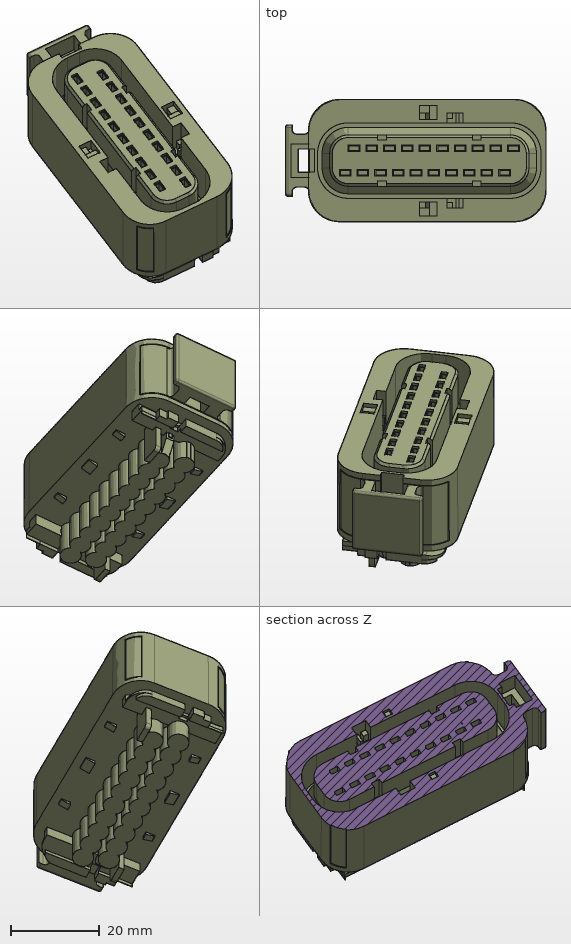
import cadquery as cq
import math

overall_length = 58.85
shell_length = 53.7
shell_width = 27.65
shell_height = 18.95
shell_corner_radius = 7.05
shell_draft = 0.05
shell_end_x = shell_length / 2

core_center_x = 0.5
cavity_length = 50.5
cavity_width = 17.05
cavity_radius = 6.95
cavity_depth = 12.95
cavity_floor_z = shell_height - cavity_depth

core_length = 45.0
core_width = 11.6
core_radius = 4.2
core_chamfer = 0.6
core_notch_offset_x = 10.7
core_notch_width = 2.0
core_notch_depth = 1.2
skirt_spread = 1.7
skirt_base_height = 1.2
skirt_slope_height = 2.95
skirt_base_z = cavity_floor_z + skirt_base_height
skirt_top_z = skirt_base_z + skirt_slope_height

contact_count = 10
contact_pitch = 4.0
contact_row_y = 2.75
contact_row_shift = contact_pitch / 4
contact_mouth = (2.65, 1.5, 0.6)
contact_hole = (2.2, 1.05, 5.9)

tube_radius = 2.4
tube_length = 8.2
foot_bottom_z = -9.95
foot_thickness = 1.3
foot_length = 4.65
foot_overlap = 0.05
foot_round = 1.0

panel_bottom_z = 1.6
panel_top_z = 17.35
panel_inner_x = 23.65
panel_recess = 0.25
panel_pad_width = 19.2

latch_bottom_z = 1.7
latch_top_z = 17.2
latch_height = latch_top_z - latch_bottom_z
latch_outer_x = shell_end_x - overall_length
latch_plate_thickness = 1.55
latch_plate_width = 16.1
latch_edge_round = 0.55
latch_neck_width = 12.0
latch_neck_round = 1.0
latch_root_round = 1.2
latch_pocket_width = 7.55
latch_pocket_wall = 1.3
latch_pocket_depth = 5.3
latch_hole_width = 5.2
latch_hole_start = 2.9
rim_notch_depth = 1.35

key_x = (-1.7, 0.5, 2.25)
key_y = (9.3, 10.7, 12.5)
key_shelf_depth = 1.0
key_ledge_depth = 1.4
key_floor_depth = 2.95
key_slope_width = 0.8

side_notch_x = (4.5, 5.75, 8.1)
side_notch_y = (9.5, 10.7)
side_notch_depth = 8.25
side_ledge_depth = 5.9
side_rib_x = (6.55, 7.2)

clip_wall_x = (19.65, 22.35)
clip_bar_x = (23.65, 25.8)
clip_wall_bottom_z = -3.05
clip_bar_wrap = 0.1
clip_bar_top_z = -1.75
clip_bar_bottom_z = -4.1
clip_back_y = 12.0
clip_front_y = -11.25
clip_bar_front_y = -9.85
clip_curve_y = -6.8
clip_bend_y = -7.65
clip_wall_tip_x = 21.1
clip_arm_tip_x = 21.4
clip_arm_drop = 0.75
clip_step_x = 25.2
clip_step_y = (6.3, 8.25)
clip_slot_y = (1.5, 3.55)
clip_window_y = (-0.2, 5.25)
clip_window_top_z = -1.05

gusset_outer_x = -20.85
gusset_inner_x = -17.65
gusset_root_x = -18.85
gusset_bend_z = -4.9
rib_width = 1.0
rib_center_y = 2.5
rib_proud = 0.2
gusset_rib_bottom_z = -4.25

wedge_drop = 1.0
wedge_lip = 0.3
wedge_y = (9.4, 11.8)
wedges = ((-11.95, 1.55), (0.0, 3.05), (11.95, 1.55))

join = 0.6


def box(x, y, z):
    """Box spanning the given (low, high) ranges."""
    size = [high - low for low, high in (x, y, z)]
    return cq.Workplane("XY").box(*size, centered=False).translate((x[0], y[0], z[0]))


def rounded_block(center_x, length, width, radius, bottom_z, height, taper=0.0):
    """Upright block with a rounded rectangular outline."""
    outline = cq.Sketch().rect(length, width).vertices().fillet(radius)
    block = cq.Workplane("XY", origin=(center_x, 0, bottom_z)).placeSketch(outline)
    return block.extrude(height, taper=taper)


def across(solid):
    """The solid together with its copy on the other side in Y."""
    return solid.union(solid.mirror("XZ"))


def make_shell():
    draft_angle = math.degrees(math.atan(shell_draft / shell_height))
    shell = rounded_block(0, shell_length, shell_width, shell_corner_radius, 0, shell_height, draft_angle)
    cavity = rounded_block(core_center_x, cavity_length, cavity_width, cavity_radius,
                           cavity_floor_z, cavity_depth)
    return shell.cut(cavity).cut(make_end_recesses())


def make_end_recesses():
    """Shallow recesses: one wraps the -X end, two sit on the +X corners."""
    height = panel_top_z - panel_bottom_z
    outside = rounded_block(0, shell_length + 2 * join, shell_width + 2 * join,
                            shell_corner_radius + join, panel_bottom_z, height)
    inside = rounded_block(0, shell_length - 2 * panel_recess, shell_width - 2 * panel_recess,
                           shell_corner_radius - panel_recess, panel_bottom_z, height)
    middle = cq.Workplane("XY", origin=(0, 0, panel_bottom_z)).rect(2 * panel_inner_x, 2 * shell_width)
    half_pad = panel_pad_width / 2
    pad = box((0, shell_length), (-half_pad, half_pad), (panel_bottom_z, panel_top_z))
    return outside.cut(inside).cut(middle.extrude(height)).cut(pad)


def make_key_cutters():
    """Stepped key pockets in the rim and key notches in the socket wall."""
    left, step_x, right = key_x
    inner, step_y, outer = key_y
    top = shell_height + join
    shelf_z = shell_height - key_shelf_depth
    floor_z = shell_height - key_floor_depth
    cutter = box((step_x, right), (inner, outer), (shelf_z, top))
    cutter = cutter.union(box((left, step_x), (step_y, outer), (shell_height - key_ledge_depth, top)))
    sloped = (cq.Workplane("XZ", origin=(0, step_y, 0))
              .polyline([(left, floor_z), (step_x - key_slope_width, floor_z), (step_x, shelf_z),
                         (step_x, top), (left, top)])
              .close().extrude(step_y - inner))
    cutter = cutter.union(sloped)

    left, step_x, right = side_notch_x
    step_y, outer = side_notch_y
    wall = cavity_width / 2 - join
    deep_z = shell_height - side_notch_depth
    ledge_z = shell_height - side_ledge_depth
    notch = box((left, right), (wall, outer), (deep_z, top))
    ledge = box((left, step_x), (step_y, outer), (deep_z, ledge_z))
    rib = box(side_rib_x, (cavity_width / 2, outer), (deep_z, ledge_z))
    return across(cutter.union(notch.cut(ledge).cut(rib)))


def make_core():
    """Contact carrier with a chamfered top and a flared skirt."""
    core = rounded_block(core_center_x, core_length, core_width, core_radius,
                         cavity_floor_z - join, cavity_depth + join)
    core = core.faces(">Z").edges().chamfer(core_chamfer)
    notch_y = core_width / 2 - core_notch_depth
    for side in (-1, 1):
        notch_center = core_center_x + side * core_notch_offset_x
        notch_x = (notch_center - core_notch_width / 2, notch_center + core_notch_width / 2)
        core = core.cut(across(box(notch_x, (notch_y, core_width), (skirt_top_z, shell_height))))

    length = core_length + 2 * skirt_spread
    width = core_width + 2 * skirt_spread
    radius = core_radius + skirt_spread
    slope = math.degrees(math.atan(skirt_spread / skirt_slope_height))
    base = rounded_block(core_center_x, length, width, radius,
                         cavity_floor_z - join, skirt_base_height + join)
    skirt = rounded_block(core_center_x, length, width, radius, skirt_base_z, skirt_slope_height, slope)
    return core.union(base).union(skirt)


def contact_points(side):
    """Contact positions of one row; side is +1 for the +Y row, -1 for the -Y row."""
    row_center_x = core_center_x + side * contact_row_shift
    first_x = row_center_x - contact_pitch * (contact_count - 1) / 2
    return [(first_x + i * contact_pitch, side * contact_row_y) for i in range(contact_count)]


def make_contact_cutters():
    points = contact_points(1) + contact_points(-1)
    top = cq.Workplane("XY", origin=(0, 0, shell_height)).pushPoints(points)
    mouths = top.rect(contact_mouth[0], contact_mouth[1]).extrude(-contact_mouth[2])
    holes = top.rect(contact_hole[0], contact_hole[1]).extrude(-contact_hole[2])
    return mouths.union(holes)


def make_tubes():
    """Two rows of overlapping wire tubes under the shell."""
    tubes = cq.Workplane("XY")
    for point in contact_points(1) + contact_points(-1):
        tube = cq.Workplane("XY", origin=(*point, join)).circle(tube_radius).extrude(-tube_length - join)
        tubes = tubes.union(tube)
    return tubes


def make_feet():
    """Two diagonally opposite feet, each flush with the end of its tube row."""
    inner_y = contact_row_y + tube_radius
    outer_x = contact_points(-1)[0][0] - tube_radius
    foot = box((outer_x, outer_x + foot_length), (inner_y - foot_overlap, inner_y + foot_thickness),
               (foot_bottom_z, join))
    foot = foot.edges("|Y and <X and <Z").fillet(foot_round)
    opposite = foot.rotate((core_center_x, 0, 0), (core_center_x, 0, 1), 180)
    return foot.union(opposite)


def make_latch():
    """Slide tab standing out of the -X end."""
    plate_inner_x = latch_outer_x + latch_plate_thickness
    half_plate = latch_plate_width / 2
    plate = box((latch_outer_x, plate_inner_x), (-half_plate, half_plate), (latch_bottom_z, latch_top_z))
    plate = plate.edges("not(>X)").fillet(latch_edge_round)

    half_neck = latch_neck_width / 2
    root_x = -shell_end_x + panel_recess
    half_profile = (cq.Workplane("XY", origin=(0, 0, latch_bottom_z))
                    .moveTo(plate_inner_x - join, 0)
                    .lineTo(plate_inner_x - join, half_neck)
                    .lineTo(plate_inner_x, half_neck + latch_neck_round)
                    .radiusArc((plate_inner_x + latch_neck_round, half_neck), -latch_neck_round)
                    .lineTo(root_x - latch_root_round, half_neck)
                    .radiusArc((root_x, half_neck + latch_root_round), -latch_root_round)
                    .lineTo(root_x + join, half_neck + latch_root_round)
                    .lineTo(root_x + join, 0)
                    .close())
    return plate.union(across(half_profile.extrude(latch_height)))


def make_latch_cutters():
    """Pocket and through hole in the tab, with the matching notch in the shell rim."""
    half_pocket = latch_pocket_width / 2
    half_hole = latch_hole_width / 2
    notch_end_x = -shell_end_x + rim_notch_depth
    hole_start_x = latch_outer_x + latch_hole_start
    root_x = -shell_end_x + panel_recess
    pocket = box((latch_outer_x + latch_pocket_wall, root_x), (-half_pocket, half_pocket),
                 (latch_top_z - latch_pocket_depth, latch_top_z))
    hole = box((hole_start_x, root_x), (-half_hole, half_hole), (latch_bottom_z, latch_top_z))
    notch = box((hole_start_x, notch_end_x), (-half_hole, half_hole), (latch_bottom_z, shell_height + join))
    return pocket.union(hole).union(notch)


def make_clips():
    """Hooked retaining clip under each end of the shell."""
    wall_inner, wall_outer = clip_wall_x
    bar_inner, bar_outer = clip_bar_x
    wall = (cq.Workplane("XY", origin=(0, 0, clip_wall_bottom_z))
            .polyline([(wall_inner, clip_front_y), (clip_wall_tip_x, clip_front_y), (wall_outer, clip_bend_y),
                       (wall_outer, clip_back_y), (wall_inner, clip_back_y)])
            .close().extrude(join - clip_wall_bottom_z))
    window = box((wall_inner, wall_outer), clip_window_y, (clip_wall_bottom_z, clip_window_top_z))
    arm = clip_band(wall_inner, (clip_arm_tip_x, clip_front_y), clip_wall_bottom_z)
    tip_slope = (cq.Workplane("YZ")
                 .polyline([(clip_bend_y, clip_bar_top_z), (clip_front_y, clip_bar_top_z),
                            (clip_front_y, clip_bar_top_z - clip_arm_drop)])
                 .close().extrude(shell_end_x))
    bar = clip_band(bar_inner - clip_bar_wrap, (bar_inner, clip_bar_front_y), clip_bar_bottom_z)
    slot = box((wall_outer, bar_outer), clip_slot_y, (clip_bar_bottom_z, clip_bar_top_z))
    clip = arm.union(bar).cut(tip_slope).union(wall.cut(window)).cut(slot)
    return clip.mirror("YZ").union(clip)


def clip_band(inner_x, tip, bottom_z):
    """Flat band with a rounded front that ends at the tip and a back that steps inward."""
    bar_inner, bar_outer = clip_bar_x
    tip_inset = bar_outer - tip[0]
    tip_reach = clip_curve_y - tip[1]
    radius = (tip_inset ** 2 + tip_reach ** 2) / (2 * tip_inset)
    step_front_y, step_back_y = clip_step_y
    return (cq.Workplane("XY", origin=(0, 0, bottom_z))
            .moveTo(inner_x, tip[1])
            .lineTo(*tip)
            .radiusArc((bar_outer, clip_curve_y), -radius)
            .lineTo(bar_outer, step_front_y)
            .lineTo(clip_step_x, step_front_y)
            .lineTo(clip_step_x, step_back_y)
            .lineTo(bar_inner, step_back_y)
            .lineTo(bar_inner, clip_back_y)
            .lineTo(inner_x, clip_back_y)
            .close().extrude(clip_bar_top_z - bottom_z))


def make_end_ribs():
    """Ribbed gusset on the +Y tube row and a thin rib on the -Y row, both at the -X end."""
    low_y, high_y = clip_slot_y
    gusset = (cq.Workplane("XZ", origin=(0, high_y, 0))
              .polyline([(gusset_inner_x, join), (gusset_outer_x, join), (gusset_outer_x, gusset_bend_z),
                         (gusset_root_x, -tube_length), (gusset_inner_x, -tube_length)])
              .close().extrude(high_y - low_y))
    half_rib = rib_width / 2
    rib_y = (rib_center_y - half_rib, rib_center_y + half_rib)
    rib_x = (gusset_outer_x - rib_proud, gusset_root_x)
    gusset_rib = box(rib_x, rib_y, (gusset_rib_bottom_z, join))
    row_rib = box(rib_x, rib_y, (-tube_length, join)).mirror("XZ")
    return gusset.union(gusset_rib).union(row_rib)


def make_wedges():
    """Small ramps under the long sides of the shell."""
    inner, outer = wedge_y
    profile = [(inner, join), (inner, -wedge_drop), (outer, -wedge_lip), (outer, join)]
    ramps = cq.Workplane("XY")
    for center_x, width in wedges:
        ramp = cq.Workplane("YZ", origin=(center_x - width / 2, 0, 0)).polyline(profile).close()
        ramps = ramps.union(ramp.extrude(width))
    return across(ramps)


result = make_shell().union(make_core()).union(make_latch())
result = result.cut(make_latch_cutters()).cut(make_key_cutters()).cut(make_contact_cutters())
result = result.union(make_tubes()).union(make_feet()).union(make_end_ribs())
result = result.union(make_clips()).union(make_wedges())